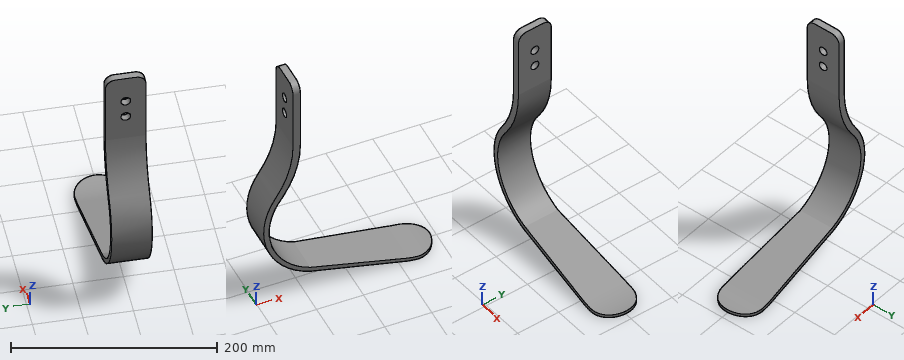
import cadquery as cq

height = 271.2
plate_back = 31.2
plate_thickness = 8.0
plate_front = plate_back + plate_thickness
plate_bottom = 193.0
strap_width = 40.1
corner_radius = 10.0

hole_diameter = 9.5
top_hole_drop = 29.8
hole_spacing = 20.0

bend_end_back = (12.2, 131.8)
bend_end_front = (19.8, 130.5)
bow_middle_back = (0, 90.8)
bow_middle_front = (6.0, 89.8)
arm_start_bottom = (49.0, 22.5)
arm_start_top = (50.0, 27.7)
tip_start_bottom = (149.7, 2.0)
tip_start_top = (149.7, 6.0)
tip_middle_bottom = (169.5, 0)
tip_middle_top = (169.0, 3.65)

length = 185.5
tip_radius = 25.0
plan_margin = 2.7
tip_round_start = length - tip_radius
tip_end_bottom = (length, 1.5)
tip_end_top = (length, 5.2)


def curved_strap():
    """Bent strip of tapering thickness, as wide as the widest part of the arm."""
    return (
        cq.Workplane("XZ")
        .moveTo(plate_front, height)
        .lineTo(plate_back, height)
        .lineTo(plate_back, plate_bottom)
        .tangentArcPoint(bend_end_back, relative=False)
        .threePointArc(bow_middle_back, arm_start_bottom)
        .lineTo(*tip_start_bottom)
        .threePointArc(tip_middle_bottom, tip_end_bottom)
        .lineTo(*tip_end_top)
        .threePointArc(tip_middle_top, tip_start_top)
        .lineTo(*arm_start_top)
        .threePointArc(bow_middle_front, bend_end_front)
        .threePointArc(bend_middle_front(), (plate_front, plate_bottom))
        .close()
        .extrude(tip_radius, both=True)
    )


def bend_middle_front():
    """Middle of the front bend arc, which leaves the plate tangentially."""
    drop = plate_bottom - bend_end_front[1]
    offset = plate_front - bend_end_front[0]
    radius = (drop**2 + offset**2) / (2 * offset)
    middle_drop = drop / 2
    middle_offset = radius - (radius**2 - middle_drop**2) ** 0.5
    return (plate_front - middle_offset, plate_bottom - middle_drop)


def plan_shape():
    """Parallel strap that flares along the arm and ends in a half circle."""
    half_width = strap_width / 2
    flare_start = arm_start_top[0]
    flare_end = tip_start_top[0]
    return (
        cq.Workplane("XY", origin=(0, 0, -plan_margin))
        .moveTo(-plan_margin, -half_width)
        .lineTo(flare_start, -half_width)
        .lineTo(flare_end, -tip_radius)
        .lineTo(tip_round_start, -tip_radius)
        .threePointArc((length, 0), (tip_round_start, tip_radius))
        .lineTo(flare_end, tip_radius)
        .lineTo(flare_start, half_width)
        .lineTo(-plan_margin, half_width)
        .close()
        .extrude(height + 2 * plan_margin)
    )


def mounting_holes():
    """Two through holes, one above the other, along X."""
    top_hole = height - top_hole_drop
    return (
        cq.Workplane("YZ", origin=(plate_back, 0, 0))
        .pushPoints([(0, top_hole), (0, top_hole - hole_spacing)])
        .circle(hole_diameter / 2)
        .extrude(plate_thickness)
    )


strap = curved_strap().intersect(plan_shape())
rounded_strap = strap.faces(">Z").edges("|X").fillet(corner_radius)
result = rounded_strap.cut(mounting_holes())